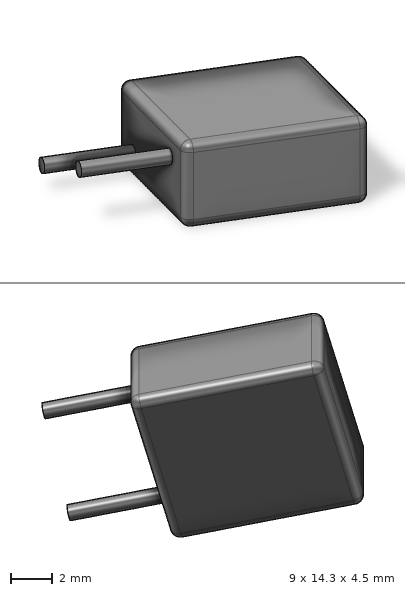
import cadquery as cq

body_width = 9.0
body_height = 4.5
total_length = 14.3

lead_length = 4.7
body_length = total_length - lead_length
edge_radius = 0.5
lead_diameter = 0.8
lead_spacing_x = 5.08
lead_spacing_z = 1.75


def make_body():
    """Rounded box with its front face on the plane Y = 0."""
    box = cq.Workplane("XY").box(body_width, body_length, body_height, centered=(True, False, True))
    return box.edges().fillet(edge_radius)


def make_lead(side):
    """Round lead running towards -Y; side is +1 (upper right) or -1 (lower left)."""
    return (
        cq.Workplane("XZ")
        .center(side * lead_spacing_x / 2, side * lead_spacing_z / 2)
        .circle(lead_diameter / 2)
        .extrude(lead_length)
    )


result = make_body()
for side in (-1, 1):
    result = result.union(make_lead(side))